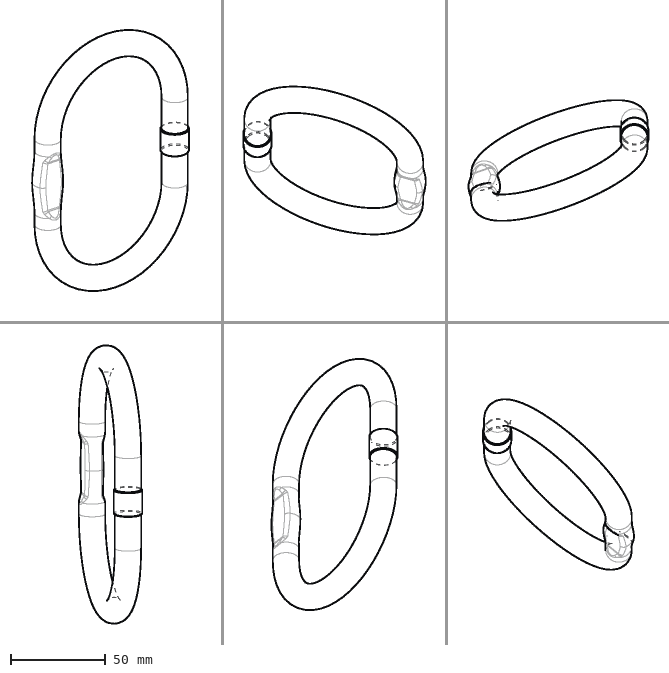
import cadquery as cq

wire_diameter = 14.0
inner_width = 70.0
straight_length = 50.0

wire_radius = wire_diameter / 2
bend_radius = inner_width / 2 + wire_radius
straight_half = straight_length / 2

collar_diameter = 15.1
collar_length = 13.5
collar_chamfer = (collar_diameter - wire_diameter) / 2

swell_radius = 8.4
swell_length = 36.2
flat_thickness = 10.0
flat_length = 28.0
ramp_length = 5.0
ramp_foot_fillet = 2.0
flat_edge_fillet = 2.8

rim_tolerance = 0.01

swell_half = swell_length / 2
flat_half = flat_length / 2
flat_x = flat_thickness / 2


def make_bent_wire():
    """Wire along both bends and the +Y straight, open at the -Y straight."""
    bend_top = straight_half + bend_radius
    centerline = (
        cq.Workplane("YZ")
        .moveTo(-bend_radius, -straight_half)
        .threePointArc((0, -bend_top), (bend_radius, -straight_half))
        .lineTo(bend_radius, straight_half)
        .threePointArc((0, bend_top), (-bend_radius, straight_half))
    )
    return (
        cq.Workplane("XY", origin=(0, -bend_radius, -straight_half))
        .circle(wire_radius)
        .sweep(centerline)
    )


def make_collar():
    """Chamfered sleeve centered on the +Y straight."""
    return (
        cq.Workplane("XY", origin=(0, bend_radius, 0))
        .circle(collar_diameter / 2)
        .extrude(collar_length / 2, both=True)
        .edges("%CIRCLE")
        .chamfer(collar_chamfer)
    )


def make_swollen_straight():
    """-Y straight as a turned body that swells smoothly toward mid-length."""
    along_wire = (0, 1)
    return (
        cq.Workplane("XZ", origin=(0, -bend_radius, 0))
        .moveTo(0, -straight_half)
        .lineTo(wire_radius, -straight_half)
        .lineTo(wire_radius, -swell_half)
        .spline([(swell_radius, 0)], tangents=[along_wire, along_wire], includeCurrent=True)
        .spline([(wire_radius, swell_half)], tangents=[along_wire, along_wire], includeCurrent=True)
        .lineTo(wire_radius, straight_half)
        .lineTo(0, straight_half)
        .close()
        .revolve(360, (0, 0, 0), (0, 1, 0))
    )


def make_flat_cutter(side):
    """Cutter for one X side (+1 or -1): a flat that ramps out to the wire surface at both ends."""
    ramp_rise = wire_radius - flat_x
    outer_x = flat_x + 2 * ramp_rise
    outer_z = flat_half + 2 * ramp_length
    flat_face = "<X" if side > 0 else ">X"
    return (
        cq.Workplane("XZ", origin=(0, -bend_radius, 0))
        .moveTo(side * flat_x, -flat_half)
        .lineTo(side * flat_x, flat_half)
        .lineTo(side * outer_x, outer_z)
        .lineTo(side * outer_x, -outer_z)
        .close()
        .extrude(2 * swell_radius, both=True)
        .faces(flat_face)
        .edges("|Y")
        .fillet(ramp_foot_fillet)
    )


def is_flat_rim(edge):
    """True for the curved edges where a flat or its ramps meet the turned surface."""
    start = edge.startPoint()
    middle = edge.positionAt(0.5)
    end = edge.endPoint()
    beside_flat = abs(middle.x) > flat_x - rim_tolerance
    runs_along_wire = max(abs(middle.z - start.z), abs(end.z - middle.z)) > rim_tolerance
    return edge.geomType() != "LINE" and beside_flat and runs_along_wire


def make_flattened_straight():
    """Swollen straight with both flats cut and their rims rounded."""
    straight = make_swollen_straight()
    for side in (-1, 1):
        straight = straight.cut(make_flat_cutter(side))
    solid = straight.solids().val()
    rim_edges = [edge for edge in solid.Edges() if is_flat_rim(edge)]
    return cq.Workplane(solid.fillet(flat_edge_fillet, rim_edges))


link = make_bent_wire().union(make_flattened_straight()).union(make_collar())
result = cq.Workplane(link.solids().val())